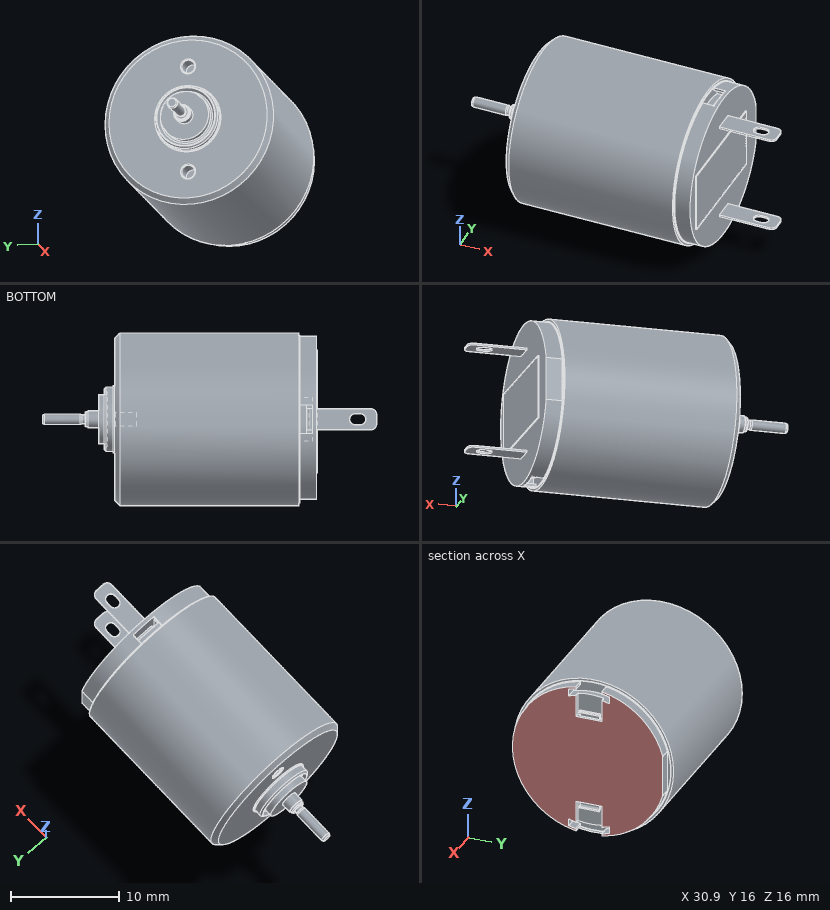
import cadquery as cq


shaft_end = 3.6
neck_end = 3.9
spacer_start = 4.02
collar_start = 4.2
bearing_face = 5.15
boss_face = 5.7
body_face = 6.65
body_end = 23.7
cap_start = 23.8
cap_end = 25.35
terminal_tip = 30.9

shaft_radius = 0.5
tip_chamfer_length = 0.2
tip_chamfer_depth = 0.1
shoulder_chamfer_length = 0.15
neck_radius = 0.43
spacer_front_radius = 0.65
spacer_radius = 0.7
collar_radius = 0.8

bearing_radius = 2.3
recess_radius = 2.47
recess_depth = 0.3
boss_crest_radius = 2.75
boss_radius = 3.0
boss_chamfer = 0.2
flange_radius = 3.12
flange_thickness = 0.12

body_radius = 8.0
body_chamfer = 0.5
rim_radius = 7.75
cap_radius = 7.7
cap_flat_y = 7.42

hole_offset = 5.0
hole_radius = 0.62
hole_depth = 2.0
hole_chamfer = 0.1

pad_height = 0.1
pad_width = 6.05
pad_y_min = -6.4
pad_y_max = 4.97

terminal_offset = 5.0
terminal_thickness = 0.2
terminal_width = 1.98
terminal_corner = 0.55
bend_start = 24.45
bend_inner_radius = 0.1
bend_outer_radius = bend_inner_radius + terminal_thickness
eyelet_to_tip = 1.75
eyelet_length = 1.48
eyelet_width = 1.0

window_width = 2.6
window_end = 24.95
ledge_end = 24.4
ledge_radius = 6.8
window_floor_z = 4.48
undercut_width = 4.02
cap_wall = 0.28


def make_turned_body():
    """Revolve the shaft, bearing, boss, can and cap about X."""
    profile = [
        (0, 0),
        (0, shaft_radius - tip_chamfer_depth),
        (tip_chamfer_length, shaft_radius),
        (shaft_end - shoulder_chamfer_length, shaft_radius),
        (shaft_end, neck_radius),
        (neck_end, neck_radius),
        (neck_end, spacer_front_radius),
        (spacer_start, spacer_radius),
        (collar_start, spacer_radius),
        (collar_start, collar_radius),
        (bearing_face, collar_radius),
        (bearing_face, bearing_radius),
        (boss_face + recess_depth, bearing_radius),
        (boss_face + recess_depth, recess_radius),
        (boss_face, boss_crest_radius),
        (boss_face, boss_radius - boss_chamfer),
        (boss_face + boss_chamfer, boss_radius),
        (body_face - flange_thickness, boss_radius),
        (body_face - flange_thickness, flange_radius),
        (body_face, flange_radius),
        (body_face, body_radius - body_chamfer),
        (body_face + body_chamfer, body_radius),
        (body_end, body_radius),
        (body_end, rim_radius),
        (cap_start, rim_radius),
        (cap_start, cap_radius),
        (cap_end, cap_radius),
        (cap_end, 0),
    ]
    return cq.Workplane("XY").polyline(profile).close().revolve(360, (0, 0, 0), (1, 0, 0))


def box_between(x_range, y_range, z_range):
    """Box that spans the given limits on each axis."""
    sizes = [high - low for low, high in (x_range, y_range, z_range)]
    corner = (x_range[0], y_range[0], z_range[0])
    return cq.Workplane("XY").box(*sizes, centered=False).translate(corner)


def make_cap_flat():
    """Material to remove from the +Y side of the cap."""
    return box_between((cap_start, cap_end), (cap_flat_y, body_radius), (-body_radius, body_radius))


def make_mounting_hole(z):
    """Blind hole with a small chamfer at the front face."""
    hole_profile = [
        (body_face, 0),
        (body_face, hole_radius + hole_chamfer),
        (body_face + hole_chamfer, hole_radius),
        (body_face + hole_depth, hole_radius),
        (body_face + hole_depth, 0),
    ]
    hole = cq.Workplane("XY").polyline(hole_profile).close().revolve(360, (0, 0, 0), (1, 0, 0))
    return hole.translate((0, 0, z))


def make_pad():
    """Thin raised pad on the back of the cap."""
    return box_between(
        (cap_end, cap_end + pad_height), (pad_y_min, pad_y_max), (-pad_width / 2, pad_width / 2)
    )


def make_x_cylinder(radius, x_start, x_end):
    """Solid cylinder on the X axis."""
    return cq.Workplane("YZ", origin=(x_start, 0, 0)).circle(radius).extrude(x_end - x_start)


def make_window():
    """Upper cap window: a curved ledge, a deeper slot and an undercut behind the cap wall."""
    x_range = (cap_start, window_end)
    half_window = window_width / 2
    half_undercut = undercut_width / 2
    opening = box_between(x_range, (-half_window, half_window), (window_floor_z, body_radius))
    opening = opening.cut(make_x_cylinder(ledge_radius, cap_start, ledge_end))
    undercut = box_between(x_range, (-half_undercut, half_undercut), (window_floor_z, body_radius))
    undercut = undercut.intersect(make_x_cylinder(cap_radius - cap_wall, *x_range))
    undercut = undercut.cut(make_x_cylinder(ledge_radius, *x_range))
    return opening.union(undercut)


def make_terminal():
    """Upper terminal: a flat blade with an eyelet, bent toward the axis inside the cap."""
    top_z = terminal_offset + terminal_thickness / 2
    under_z = top_z - terminal_thickness
    bend_x = bend_start + bend_outer_radius
    bend_z = top_z - bend_outer_radius
    blade = (
        cq.Workplane("XZ")
        .moveTo(terminal_tip, top_z)
        .lineTo(bend_x, top_z)
        .radiusArc((bend_start, bend_z), -bend_outer_radius)
        .lineTo(bend_start, window_floor_z)
        .lineTo(bend_start + terminal_thickness, window_floor_z)
        .lineTo(bend_start + terminal_thickness, bend_z)
        .radiusArc((bend_x, under_z), bend_inner_radius)
        .lineTo(terminal_tip, under_z)
        .close()
        .extrude(terminal_width / 2, both=True)
        .edges("|Z and >X")
        .fillet(terminal_corner)
    )
    eyelet = (
        cq.Workplane("XY", origin=(terminal_tip - eyelet_to_tip, 0, terminal_offset))
        .slot2D(eyelet_length, eyelet_width)
        .extrude(terminal_thickness, both=True)
    )
    return blade.cut(eyelet)


def both_sides(upper):
    """The upper shape and its mirror image below the axis."""
    return [upper, upper.mirror("XY")]


result = make_turned_body().cut(make_cap_flat()).union(make_pad())

for z in (-hole_offset, hole_offset):
    result = result.cut(make_mounting_hole(z))

for window in both_sides(make_window()):
    result = result.cut(window)

for terminal in both_sides(make_terminal()):
    result = result.union(terminal)